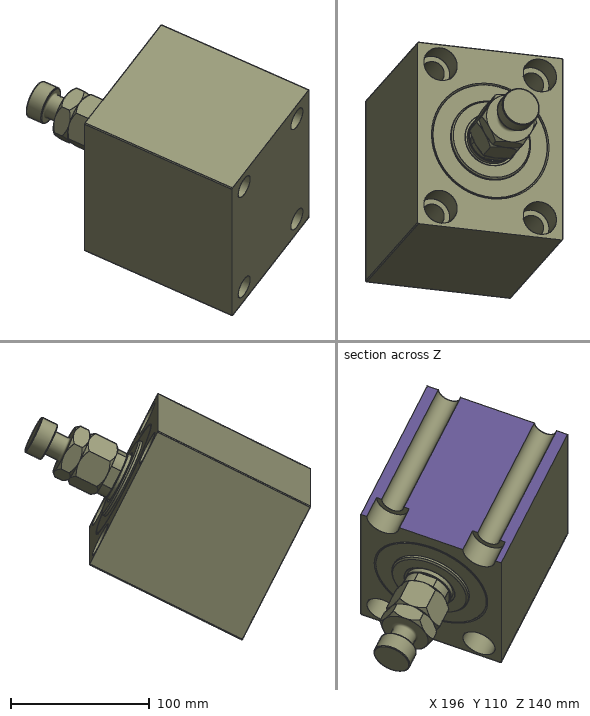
import cadquery as cq
import math


block_front = 73.0
block_back = 196.0
block_width = 110.0
block_height = 140.0
block_edge_chamfer = 0.8
bolt_spacing_y = 75.0
bolt_spacing_z = 110.0
bolt_hole_diameter = 17.0
bolt_head_diameter = 25.0
bolt_head_depth = 18.0

gland_diameter = 86.5
gland_depth = 25.0
gland_seat_chamfer = 1.2
flange_diameter = 60.0
flange_front = 70.0
flange_chamfer = 1.2
wiper_recess_diameter = 39.5
wiper_recess_depth = 1.0

rod_diameter = 36.0
rod_front = 59.4
rod_flats_length = 7.6
rod_across_flats = 33.0
rod_collar_chamfer = 0.5

hexagon_sides = 6
head_diameter = 28.0
head_length = 13.0
head_chamfer = 0.5
neck_diameter = 18.0
neck_head_fillet = 1.0
neck_hex_fillet = 1.8
hex_front = 25.0
hex_joint = 37.0
hex_across_flats = 36.0

gland_back = block_front + gland_depth


def cylinder(diameter, start, end):
    """Solid cylinder on the X axis between two X positions."""
    return cq.Workplane("YZ").workplane(offset=start).circle(diameter / 2).extrude(end - start)


def make_block():
    block = (
        cq.Workplane("XY")
        .box(block_back - block_front, block_width, block_height)
        .translate(((block_front + block_back) / 2, 0, 0))
        .edges("|X")
        .chamfer(block_edge_chamfer)
    )
    block = (
        block.faces("<X")
        .workplane(origin=(block_front, 0, 0))
        .rect(bolt_spacing_y, bolt_spacing_z, forConstruction=True)
        .vertices()
        .cboreHole(bolt_hole_diameter, bolt_head_diameter, bolt_head_depth)
    )
    block = block.cut(cylinder(gland_diameter, block_front, gland_back))
    largest_circles = cq.selectors.RadiusNthSelector(-1)
    return block.edges(largest_circles).edges("<X").chamfer(gland_seat_chamfer)


def make_gland():
    flange = (
        cylinder(flange_diameter, flange_front, block_front)
        .faces("<X")
        .chamfer(flange_chamfer)
    )
    gland = cylinder(gland_diameter, block_front, gland_back).union(flange)
    gland = gland.cut(cylinder(rod_diameter, flange_front, gland_back))
    recess_end = flange_front + wiper_recess_depth
    return gland.cut(cylinder(wiper_recess_diameter, flange_front, recess_end))


def make_rod():
    collar_front = rod_front + rod_flats_length
    shaft = cylinder(rod_diameter, collar_front, gland_back).faces("<X").chamfer(rod_collar_chamfer)
    square = (
        cq.Workplane("YZ")
        .workplane(offset=rod_front)
        .rect(rod_across_flats, rod_across_flats)
        .extrude(rod_flats_length)
    )
    wrench_section = cylinder(rod_diameter, rod_front, collar_front).intersect(square)
    return shaft.union(wrench_section)


def make_hex(start, end):
    """Hexagon with corners toward +Y and -Y, its corners turned down at both ends."""
    across_corners = hex_across_flats / math.cos(math.pi / hexagon_sides)
    corner_chamfer = (across_corners - hex_across_flats) / 2
    prism = (
        cq.Workplane("YZ")
        .workplane(offset=start)
        .polygon(hexagon_sides, across_corners)
        .extrude(end - start)
    )
    envelope = cylinder(across_corners, start, end).faces("<X or >X").chamfer(corner_chamfer)
    return prism.intersect(envelope)


def circle_centred_at(x):
    """Selector for the circular edge whose centre is on the X axis at x."""
    return cq.selectors.NearestToPointSelector((x, 0, 0))


def make_coupling_pin():
    head = cylinder(head_diameter, 0, head_length).faces("<X or >X").chamfer(head_chamfer)
    neck = cylinder(neck_diameter, head_length, hex_front)
    pin = head.union(neck).union(make_hex(hex_front, hex_joint)).union(make_hex(hex_joint, rod_front))
    pin = pin.edges(circle_centred_at(head_length)).fillet(neck_head_fillet)
    return pin.edges(circle_centred_at(hex_front)).fillet(neck_hex_fillet)


block = make_block()
gland = make_gland()
rod = make_rod()
coupling_pin = make_coupling_pin()

result = cq.Compound.makeCompound([block.val(), gland.val(), rod.val(), coupling_pin.val()])